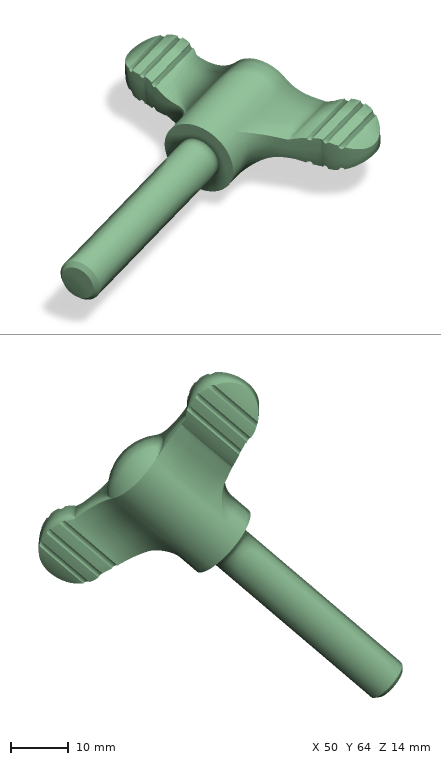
import cadquery as cq
import math


HUB_RADIUS = 14.0 / 2
HUB_SHOULDER_Y = 21.0
CROWN_TOP_Y = 24.0
STUD_RADIUS = 8.0 / 2
STUD_LENGTH = 40.0
STUD_CHAMFER = 0.8

WING_REACH = 25.0
PAD_RADIUS = 6.25
PAD_R = WING_REACH - PAD_RADIUS
PAD_Y = CROWN_TOP_Y - PAD_RADIUS
PAD_UPPER_CORNER_R = 14.2
PAD_LOWER_CORNER_R = 18.1
UNDERSIDE_ANGLE = math.radians(20)
ROOT_BLEND_RADIUS = 5.0

NECK_RADIUS = 9.0
UPPER_NECK_X = 10.7
UPPER_FLAT_START_X = 9.94
UPPER_FLAT_END_X = 12.4
UPPER_CREST_X = 17.65
UPPER_CREST_RADIUS = 12.8
LOWER_NECK_X = 12.25
LOWER_NECK_END_X = 14.8
LOWER_CREST_X = 18.7
LOWER_CREST_RADIUS = 13.0
SECTION_END_X = WING_REACH + 0.5

GROOVE_RADIUS = 0.5
GROOVE_FIRST_X = 15.9
GROOVE_PITCH = 2.82
GROOVE_COUNT = 3


def arc_height(radius, offset):
    """Height of a circle above its centre at a sideways offset."""
    return math.sqrt(radius**2 - offset**2)


NECK_CENTRE_DISTANCE = HUB_RADIUS + NECK_RADIUS
TANGENT_FRACTION = HUB_RADIUS / NECK_CENTRE_DISTANCE
UPPER_NECK_Z = arc_height(NECK_CENTRE_DISTANCE, UPPER_NECK_X)
LOWER_NECK_Z = -arc_height(NECK_CENTRE_DISTANCE, LOWER_NECK_X)


def upper_neck_z(x):
    return UPPER_NECK_Z - arc_height(NECK_RADIUS, x - UPPER_NECK_X)


def lower_neck_z(x):
    return LOWER_NECK_Z + arc_height(NECK_RADIUS, x - LOWER_NECK_X)


UPPER_FLAT_START_Z = upper_neck_z(UPPER_FLAT_START_X)
UPPER_FLAT_SLOPE = (UPPER_FLAT_START_X - UPPER_NECK_X) / (UPPER_NECK_Z - UPPER_FLAT_START_Z)
UPPER_FLAT_END_Z = UPPER_FLAT_START_Z + UPPER_FLAT_SLOPE * (UPPER_FLAT_END_X - UPPER_FLAT_START_X)

UPPER_CREST_CENTRE_Z = UPPER_FLAT_END_Z - arc_height(UPPER_CREST_RADIUS, UPPER_FLAT_END_X - UPPER_CREST_X)
LOWER_CREST_CENTRE_Z = lower_neck_z(LOWER_NECK_END_X) + arc_height(
    LOWER_CREST_RADIUS, LOWER_NECK_END_X - LOWER_CREST_X
)


def upper_crest_z(x):
    return UPPER_CREST_CENTRE_Z + arc_height(UPPER_CREST_RADIUS, x - UPPER_CREST_X)


def lower_crest_z(x):
    return LOWER_CREST_CENTRE_Z - arc_height(LOWER_CREST_RADIUS, x - LOWER_CREST_X)


def make_hub_and_stud():
    crown_rise = CROWN_TOP_Y - HUB_SHOULDER_Y
    crown_radius = (HUB_RADIUS**2 + crown_rise**2) / (2 * crown_rise)
    crown_mid_r = HUB_RADIUS / 2
    crown_mid_y = CROWN_TOP_Y - crown_radius + arc_height(crown_radius, crown_mid_r)
    return (
        cq.Workplane("XY")
        .moveTo(0, -STUD_LENGTH)
        .lineTo(STUD_RADIUS - STUD_CHAMFER, -STUD_LENGTH)
        .lineTo(STUD_RADIUS, -STUD_LENGTH + STUD_CHAMFER)
        .lineTo(STUD_RADIUS, 0)
        .lineTo(HUB_RADIUS, 0)
        .lineTo(HUB_RADIUS, HUB_SHOULDER_Y)
        .threePointArc((crown_mid_r, crown_mid_y), (0, CROWN_TOP_Y))
        .close()
        .revolve(360, (0, 0), (0, 1))
    )


def make_wing_outline():
    """Body of revolution whose profile gives the wings their outline."""
    upper_corner_y = PAD_Y + arc_height(PAD_RADIUS, PAD_UPPER_CORNER_R - PAD_R)
    lower_corner_y = PAD_Y - arc_height(PAD_RADIUS, PAD_LOWER_CORNER_R - PAD_R)
    underside_slope = math.tan(UNDERSIDE_ANGLE)

    blend_tangent = ROOT_BLEND_RADIUS * math.tan((math.pi / 2 - UNDERSIDE_ANGLE) / 2)
    blend_outer_r = HUB_RADIUS + blend_tangent * math.cos(UNDERSIDE_ANGLE)
    blend_outer_y = lower_corner_y - (PAD_LOWER_CORNER_R - blend_outer_r) * underside_slope
    blend_inner_y = blend_outer_y - blend_tangent * (1 + math.sin(UNDERSIDE_ANGLE))
    blend_mid_angle = (math.pi / 2 - UNDERSIDE_ANGLE) / 2
    blend_mid_r = HUB_RADIUS + ROOT_BLEND_RADIUS * (1 - math.cos(blend_mid_angle))
    blend_mid_y = blend_inner_y + ROOT_BLEND_RADIUS * math.sin(blend_mid_angle)

    return (
        cq.Workplane("XY")
        .moveTo(0, HUB_SHOULDER_Y)
        .lineTo(HUB_RADIUS, HUB_SHOULDER_Y)
        .lineTo(PAD_UPPER_CORNER_R, upper_corner_y)
        .threePointArc((WING_REACH, PAD_Y), (PAD_LOWER_CORNER_R, lower_corner_y))
        .lineTo(blend_outer_r, blend_outer_y)
        .threePointArc((blend_mid_r, blend_mid_y), (HUB_RADIUS, blend_inner_y))
        .lineTo(0, blend_inner_y)
        .close()
        .revolve(360, (0, 0), (0, 1))
    )


def make_wing_section():
    """Cross-section of the +X wing, drawn out along the hub."""
    upper_root = (UPPER_NECK_X * TANGENT_FRACTION, UPPER_NECK_Z * TANGENT_FRACTION)
    lower_root = (LOWER_NECK_X * TANGENT_FRACTION, LOWER_NECK_Z * TANGENT_FRACTION)
    upper_mid_x = (upper_root[0] + UPPER_FLAT_START_X) / 2
    lower_mid_x = (lower_root[0] + LOWER_NECK_END_X) / 2
    return (
        cq.Workplane("XZ")
        .lineTo(*upper_root)
        .threePointArc((upper_mid_x, upper_neck_z(upper_mid_x)), (UPPER_FLAT_START_X, UPPER_FLAT_START_Z))
        .lineTo(UPPER_FLAT_END_X, UPPER_FLAT_END_Z)
        .threePointArc(
            (UPPER_CREST_X, upper_crest_z(UPPER_CREST_X)), (SECTION_END_X, upper_crest_z(SECTION_END_X))
        )
        .lineTo(SECTION_END_X, lower_crest_z(SECTION_END_X))
        .threePointArc(
            (LOWER_CREST_X, lower_crest_z(LOWER_CREST_X)), (LOWER_NECK_END_X, lower_neck_z(LOWER_NECK_END_X))
        )
        .threePointArc((lower_mid_x, lower_neck_z(lower_mid_x)), lower_root)
        .close()
        .extrude(-CROWN_TOP_Y)
    )


def make_grooves():
    centres = []
    for index in range(GROOVE_COUNT):
        x = GROOVE_FIRST_X + index * GROOVE_PITCH
        centres.append((x, upper_crest_z(x)))
        centres.append((x, lower_crest_z(x)))
    return cq.Workplane("XZ").pushPoints(centres).circle(GROOVE_RADIUS).extrude(-CROWN_TOP_Y)


def make_wing():
    return make_wing_section().cut(make_grooves()).intersect(make_wing_outline())


wing = make_wing()
opposite_wing = wing.rotate((0, 0, 0), (0, 1, 0), 180)
result = make_hub_and_stud().union(wing).union(opposite_wing)